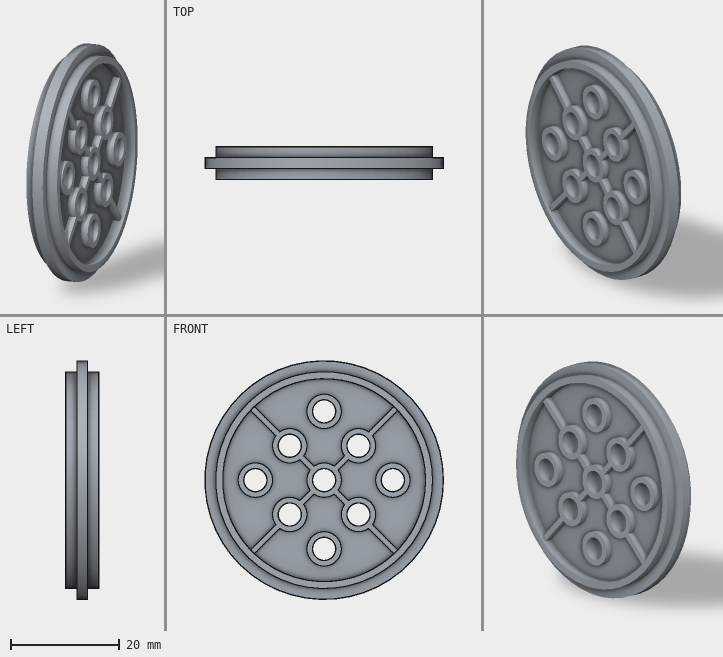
import cadquery as cq

flange_radius = 22.0
flange_thickness = 2.02
body_radius = 19.98
total_thickness = 6.1

recess_radius = 18.7
recess_depth = (total_thickness - flange_thickness) / 2

grid_offset = 6.35
boss_radius = 3.15
hole_radius = 2.1

rib_width = 1.0
rib_angles = (45, -45)
rim_setback = 0.65

grid_steps = (-1, 0, 1)
hole_points = [
    ((i + j) * grid_offset, (i - j) * grid_offset)
    for i in grid_steps
    for j in grid_steps
]


def cylinders(radius, thickness, points=((0, 0),)):
    """Cylinders along Y, centred on the XZ plane, at the given (x, z) points."""
    back_plane = cq.Workplane("XZ", origin=(0, thickness / 2, 0))
    return back_plane.pushPoints(points).circle(radius).extrude(thickness)


def dished_disc():
    """Rim and flange around a thin web with a recess on either side."""
    rim = cylinders(body_radius, total_thickness).cut(cylinders(recess_radius, total_thickness))
    web_and_flange = cylinders(flange_radius, total_thickness - 2 * recess_depth)
    return rim.union(web_and_flange)


def bosses_and_ribs():
    """Hole bosses joined by two crossing ribs, standing out of both sides of the web."""
    thickness = total_thickness - 2 * rim_setback
    solid = cylinders(boss_radius, thickness, hole_points)
    for angle in rib_angles:
        rib = cq.Workplane("XY").box(2 * recess_radius, thickness, rib_width)
        solid = solid.union(rib.rotate((0, 0, 0), (0, 1, 0), angle))
    return solid


holes = cylinders(hole_radius, total_thickness, hole_points)
result = dished_disc().union(bosses_and_ribs()).cut(holes)